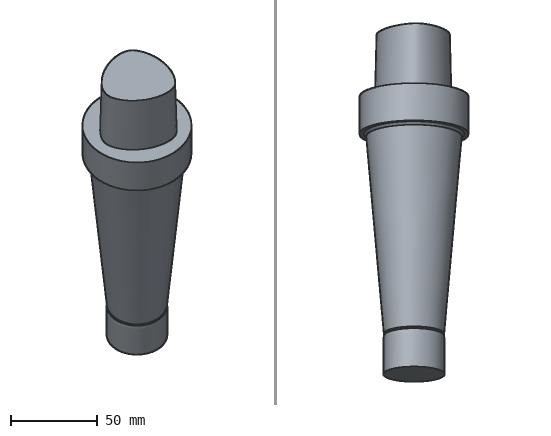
import cadquery as cq
import math

total_height = 203.0
pilot_height = 20.7
groove_bottom = 22.7
groove_top = 24.0
cone_top = 141.3
collar_bottom = 143.0
collar_top = 165.0

pilot_diameter = 35.3
cone_bottom_diameter = 35.0
groove_diameter = 27.5
cone_top_diameter = 55.2
flare_diameter = 58.0
collar_diameter = 63.0

shank_base_width = 44.3
shank_top_width = 42.5
lobe_height = 1.6
points_per_turn = 48


def make_body():
    """Pilot, tapered body with groove, flare and collar, turned about Z."""
    profile = [
        (0, 0),
        (pilot_diameter / 2, 0),
        (pilot_diameter / 2, pilot_height),
        (cone_bottom_diameter / 2, groove_bottom),
        (groove_diameter / 2, groove_bottom),
        (groove_diameter / 2, groove_top),
        (cone_bottom_diameter / 2, groove_top),
        (cone_top_diameter / 2, cone_top),
        (flare_diameter / 2, collar_bottom),
        (collar_diameter / 2, collar_bottom),
        (collar_diameter / 2, collar_top),
        (0, collar_top),
    ]
    return cq.Workplane("XZ").polyline(profile).close().revolve(360, (0, 0), (0, 1))


def lobed_point(angle, width):
    """Point of the three-lobed curve whose outward normal is at the given angle from -Y."""
    support = width / 2 + lobe_height * math.cos(3 * angle)
    support_slope = -3 * lobe_height * math.sin(3 * angle)
    along_lobe = support * math.cos(angle) - support_slope * math.sin(angle)
    across_lobe = support * math.sin(angle) + support_slope * math.cos(angle)
    return across_lobe, -along_lobe


def lobed_outline(width):
    """Points around the three-lobed curve, starting at the -Y lobe."""
    step = 2 * math.pi / points_per_turn
    return [lobed_point(i * step, width) for i in range(points_per_turn)]


def make_shank():
    """Three-lobed shank, tapering from the collar to the upper end."""
    return (
        cq.Workplane("XY", origin=(0, 0, collar_top))
        .spline(lobed_outline(shank_base_width), periodic=True, makeWire=True)
        .workplane(offset=total_height - collar_top)
        .spline(lobed_outline(shank_top_width), periodic=True, makeWire=True)
        .loft(ruled=True)
    )


result = make_body().union(make_shank())